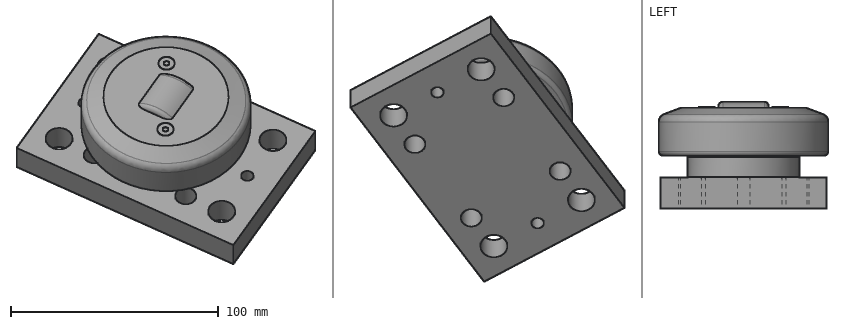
import cadquery as cq
import math

plate_length = 120.0
plate_width = 80.0
plate_thickness = 15.0
corner_hole_diameter = 13.0
dowel_hole_diameter = 6.0
hole_offset_x = 45.0
corner_hole_offset_y = 25.0
bolt_hole_diameter = 10.1
bolt_hole_offset = 25.3

neck_diameter = 54.0
neck_top = 25.2
neck_chamfer = 0.4
neck_core_diameter = 52.0

roller_diameter = 81.7
roller_bottom = 25.5
roller_top = 48.6
roller_face_diameter = 60.2
cone_angle = 20.5
shoulder_radius = 4.0
lower_edge_radius = 2.2

overall_height = 51.5
side_roller_length = 24.4
side_roller_chord = 18.5
side_roller_edge_radius = 2.3
side_roller_rise = overall_height - roller_top
side_roller_radius = (side_roller_chord**2 / 4 + side_roller_rise**2) / (2 * side_roller_rise)

screw_position = (9.7, -17.6)
screw_diameter = 7.8
screw_rise = 0.4
socket_width = 2.9
socket_depth = 0.4


def make_plate():
    plate = cq.Workplane("XY").box(
        plate_length, plate_width, plate_thickness, centered=(True, True, False)
    )
    top = plate.faces(">Z").workplane()
    corner_spacing = (2 * hole_offset_x, 2 * corner_hole_offset_y)
    bolt_spacing = 2 * bolt_hole_offset
    plate = top.rarray(*corner_spacing, 2, 2).hole(corner_hole_diameter)
    plate = plate.pushPoints([(-hole_offset_x, 0), (hole_offset_x, 0)]).hole(dowel_hole_diameter)
    return plate.rarray(bolt_spacing, bolt_spacing, 2, 2).hole(bolt_hole_diameter)


def make_neck():
    plate_face = cq.Workplane("XY").workplane(offset=plate_thickness)
    collar = plate_face.circle(neck_diameter / 2).extrude(neck_top - plate_thickness)
    collar = collar.edges("%CIRCLE").chamfer(neck_chamfer)
    core = plate_face.circle(neck_core_diameter / 2).extrude(roller_bottom - plate_thickness)
    return collar.union(core)


def make_main_roller():
    rim = roller_diameter / 2
    face = roller_face_diameter / 2
    cone_base = roller_top - (rim - face) * math.tan(math.radians(cone_angle))
    roller = (
        cq.Workplane("XZ")
        .moveTo(0, roller_bottom)
        .lineTo(rim, roller_bottom)
        .lineTo(rim, cone_base)
        .lineTo(face, roller_top)
        .lineTo(0, roller_top)
        .close()
        .revolve(360, (0, 0, 0), (0, 1, 0))
    )
    roller = roller.faces("<Z").edges().fillet(lower_edge_radius)
    shoulder = roller.faces("%CONE").edges("<Z")
    return shoulder.fillet(shoulder_radius)


def make_side_roller():
    roller = (
        cq.Workplane("XZ")
        .center(0, overall_height - side_roller_radius)
        .circle(side_roller_radius)
        .extrude(side_roller_length / 2, both=True)
        .edges("%CIRCLE")
        .fillet(side_roller_edge_radius)
    )
    cap = (
        cq.Workplane("XY")
        .workplane(offset=roller_top)
        .rect(side_roller_chord, side_roller_length)
        .extrude(side_roller_rise)
    )
    return roller.intersect(cap)


def add_screws(body):
    x, y = screw_position
    positions = [(x, y), (-x, -y)]
    face = cq.Workplane("XY").workplane(offset=roller_top)
    heads = face.pushPoints(positions).circle(screw_diameter / 2).extrude(screw_rise)
    sockets = (
        face.workplane(offset=screw_rise)
        .pushPoints(positions)
        .polygon(6, socket_width)
        .extrude(-socket_depth)
    )
    return body.union(heads).cut(sockets)


body = make_plate().union(make_neck()).union(make_main_roller()).union(make_side_roller())
result = add_screws(body)